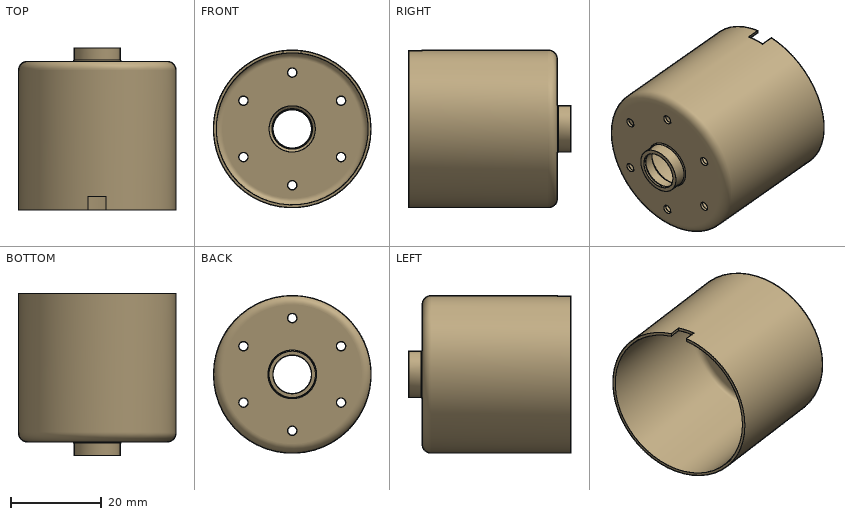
import cadquery as cq
import math

outer_diameter = 35.0
wall = 0.65
cup_length = 33.0
corner_radius = 2.0

neck_diameter = 10.3
neck_height = 3.0
neck_root_chamfer = 0.25
neck_hole_diameter = 8.5

hole_count = 6
hole_diameter = 2.0
hole_circle_diameter = 25.0

notch_width = 4.0
notch_length = 3.0

total_length = cup_length + neck_height
front_y = -total_length / 2
back_y = front_y + cup_length
neck_end_y = back_y + neck_height


def disc(diameter, start_y, end_y):
    """Solid cylinder on the Y axis from start_y to end_y."""
    plane = cq.Workplane("XZ", origin=(0, start_y, 0))
    return plane.circle(diameter / 2).extrude(start_y - end_y)


def stepped_body(offset):
    """Cup and neck as one solid, with its skin moved inward by offset."""
    cup = disc(outer_diameter - 2 * offset, front_y, back_y - offset)
    cup = cup.faces(">Y").edges().fillet(corner_radius - offset)
    neck = disc(neck_diameter - 2 * offset, front_y, neck_end_y - offset)
    body = cup.union(neck)
    root_edge = cq.selectors.BoxSelector(
        (-neck_diameter, back_y - offset - wall / 2, -neck_diameter),
        (neck_diameter, back_y - offset + wall / 2, neck_diameter),
    )
    root_chamfer = neck_root_chamfer + offset * (2 - math.sqrt(2))
    return body.edges(root_edge).chamfer(root_chamfer)


def back_holes():
    """Ring of drills along Y, the first one straight above the axis."""
    first_hole_angle = 90
    drills = cq.Workplane("XZ", origin=(0, front_y, 0))
    drills = drills.polarArray(hole_circle_diameter / 2, first_hole_angle, 360, hole_count)
    return drills.circle(hole_diameter / 2).extrude(-total_length)


def rim_notch():
    """Block that cuts only the upper wall at the open end."""
    notch = cq.Workplane("XY", origin=(0, front_y + notch_length / 2, 0))
    return notch.rect(notch_width, notch_length).extrude(outer_diameter)


shell = stepped_body(0).cut(stepped_body(wall))
neck_hole = disc(neck_hole_diameter, front_y, neck_end_y)
result = shell.cut(neck_hole).cut(back_holes()).cut(rim_notch())